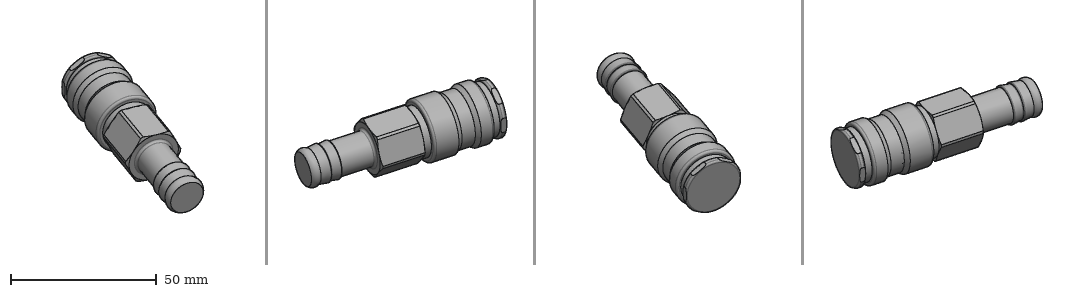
import cadquery as cq
import math

total_length = 73.5

ring_diameter = 21.9
ring_width = 2.5
ring_edge_radius = 0.7
ring_across_flats = 21.0
ring_turn = 30.0

sleeve_start = 5.15
sleeve_end = 28.75
sleeve_diameter = 23.15
sleeve_edge_radius = 0.95
groove_diameter = 21.0
groove_start = 10.5
groove_end = 19.2
groove_taper_length = 1.8

front_neck_diameter = 20.1
rear_neck_diameter = 18.95
neck_step = (sleeve_start + sleeve_end) / 2

hex_start = 31.45
hex_end = 48.6
hex_across_flats = 19.0
hex_corner_diameter = 21.4
hex_turn = -6.0
hex_front_chamfer = 0.3
hex_rear_chamfer = 0.45

tail_diameter = 13.1
tail_root_radius = 0.9
first_barb_start = 62.0
first_barb_end = 65.7
second_barb_start = 66.0
barb_diameter = 14.3
barb_low_diameter = 13.3
barb_nose_radius = 0.3
bead_start = 70.0
bead_crest = 71.65
tip_diameter = 12.6

hex_sides = 6


def revolve_about_x(outline):
    """Solid of revolution about X from an open half profile that starts and ends on the axis."""
    return outline.close().revolve(360, (0, 0, 0), (1, 0, 0))


def cylinder(start, end, diameter):
    """Cylinder along the X axis."""
    return cq.Workplane("YZ", origin=(start, 0, 0)).circle(diameter / 2).extrude(end - start)


def hex_prism(start, end, across_flats, turn):
    """Hexagonal prism along X; a turn of 0 degrees points one corner toward +Y."""
    across_corners = across_flats / math.cos(math.pi / hex_sides)
    prism = cq.Workplane("YZ", origin=(start, 0, 0)).polygon(hex_sides, across_corners)
    return prism.extrude(end - start).rotate((0, 0, 0), (1, 0, 0), turn)


def make_front_ring():
    """Rounded ring cut by six flats."""
    ring = cylinder(0, ring_width, ring_diameter).edges().fillet(ring_edge_radius)
    return ring.intersect(hex_prism(0, ring_width, ring_across_flats, ring_turn))


def make_necks():
    """Stepped shaft between the front ring and the hexagon."""
    front_neck = cylinder(ring_width, neck_step, front_neck_diameter)
    rear_neck = cylinder(neck_step, hex_start, rear_neck_diameter)
    return front_neck.union(rear_neck)


def make_hexagon():
    """Hexagon with turned corners and a conical chamfer at each end."""
    corner_radius = hex_corner_diameter / 2
    face_radius = hex_across_flats / 2
    turned_limit = revolve_about_x(
        cq.Workplane("XY")
        .moveTo(hex_start, 0)
        .lineTo(hex_start, face_radius)
        .lineTo(hex_start + hex_front_chamfer, corner_radius)
        .lineTo(hex_end - hex_rear_chamfer, corner_radius)
        .lineTo(hex_end, face_radius)
        .lineTo(hex_end, 0)
    )
    return turned_limit.intersect(hex_prism(hex_start, hex_end, hex_across_flats, hex_turn))


def add_barb(outline, start, end):
    """Continue the tail profile with a rounded step up and a long taper down."""
    crest_radius = barb_diameter / 2
    arc_inset = barb_nose_radius * (1 - math.sqrt(0.5))
    return (
        outline.lineTo(start, crest_radius - barb_nose_radius)
        .threePointArc(
            (start + arc_inset, crest_radius - arc_inset),
            (start + barb_nose_radius, crest_radius),
        )
        .lineTo(end, barb_low_diameter / 2)
    )


def make_hose_tail():
    """Hose tail with a root fillet, two barbs and a rounded end bead."""
    tail_radius = tail_diameter / 2
    arc_inset = tail_root_radius * (1 - math.sqrt(0.5))
    outline = (
        cq.Workplane("XY")
        .moveTo(hex_end, 0)
        .lineTo(hex_end, tail_radius + tail_root_radius)
        .threePointArc(
            (hex_end + arc_inset, tail_radius + arc_inset),
            (hex_end + tail_root_radius, tail_radius),
        )
        .lineTo(first_barb_start, tail_radius)
    )
    outline = add_barb(outline, first_barb_start, first_barb_end)
    outline = outline.lineTo(second_barb_start, barb_low_diameter / 2)
    outline = add_barb(outline, second_barb_start, bead_start)
    outline = outline.threePointArc(
        (bead_crest, barb_diameter / 2), (total_length, tip_diameter / 2)
    ).lineTo(total_length, 0)
    return revolve_about_x(outline)


def make_core():
    """Front ring, necks, hexagon and hose tail as one solid."""
    return make_front_ring().union(make_necks()).union(make_hexagon()).union(make_hose_tail())


def make_sleeve():
    """Grooved sleeve whose stepped bore fits the necks of the core."""
    outer_radius = sleeve_diameter / 2
    groove_radius = groove_diameter / 2
    sleeve = revolve_about_x(
        cq.Workplane("XY")
        .moveTo(sleeve_start, 0)
        .lineTo(sleeve_start, outer_radius)
        .lineTo(groove_start, outer_radius)
        .lineTo(groove_start + groove_taper_length, groove_radius)
        .lineTo(groove_end - groove_taper_length, groove_radius)
        .lineTo(groove_end, outer_radius)
        .lineTo(sleeve_end, outer_radius)
        .lineTo(sleeve_end, 0)
    )
    sleeve = sleeve.faces("<X or >X").edges().fillet(sleeve_edge_radius)
    return sleeve.cut(make_necks())


core = make_core()
sleeve = make_sleeve()

result = cq.Compound.makeCompound([core.val(), sleeve.val()])